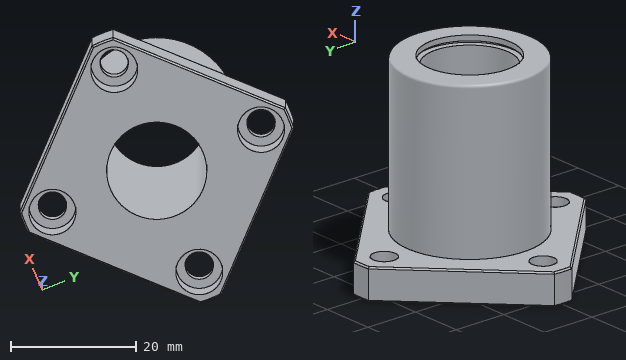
import cadquery as cq

FLANGE_SIDE = 35.0
FLANGE_TURN = 45.0
FLANGE_DIAMETER = 46.0
FLANGE_THICKNESS = 6.0
FLANGE_CHAMFER = 0.3

SLEEVE_DIAMETER = 26.0
OVERALL_HEIGHT = 36.0
SLEEVE_FILLET = 0.6

BORE_DIAMETER = 16.0
LIP_DIAMETER = 17.2
LIP_HEIGHT = 1.0
GROOVE_DIAMETER = 18.4
GROOVE_WIDTH = 0.5

BOLT_CIRCLE_DIAMETER = 36.0
BOLT_COUNT = 4
BOLT_HOLE_DIAMETER = 4.5
COUNTERBORE_DIAMETER = 7.5
COUNTERBORE_DEPTH = 4.1


def cylinder(diameter, bottom, top):
    """Solid cylinder on the Z axis between two heights."""
    return cq.Workplane("XY").workplane(offset=bottom).circle(diameter / 2).extrude(top - bottom)


def make_flange():
    """Diamond plate with round corners and chamfered top and bottom rims."""
    square = (
        cq.Workplane("XY")
        .rect(FLANGE_SIDE, FLANGE_SIDE)
        .extrude(FLANGE_THICKNESS)
        .rotate((0, 0, 0), (0, 0, 1), FLANGE_TURN)
    )
    plate = square.intersect(cylinder(FLANGE_DIAMETER, 0, FLANGE_THICKNESS))
    return plate.faces("<Z or >Z").edges().chamfer(FLANGE_CHAMFER)


def make_sleeve():
    """Outer cylinder with its top rim rounded."""
    return cylinder(SLEEVE_DIAMETER, 0, OVERALL_HEIGHT).faces(">Z").edges().fillet(SLEEVE_FILLET)


def make_bore():
    """Through bore together with the lipped recess and its groove at the top end."""
    lip_bottom = OVERALL_HEIGHT - LIP_HEIGHT
    bore = cylinder(BORE_DIAMETER, 0, OVERALL_HEIGHT)
    lip = cylinder(LIP_DIAMETER, lip_bottom, OVERALL_HEIGHT)
    groove = cylinder(GROOVE_DIAMETER, lip_bottom - GROOVE_WIDTH, lip_bottom)
    return bore.union(lip).union(groove)


def make_bolt_holes():
    """Through holes on the bolt circle, each with its counterbore."""
    hole = cylinder(BOLT_HOLE_DIAMETER, 0, FLANGE_THICKNESS)
    counterbore = cylinder(COUNTERBORE_DIAMETER, 0, COUNTERBORE_DEPTH)
    cutter = hole.union(counterbore).translate((BOLT_CIRCLE_DIAMETER / 2, 0, 0))
    cutters = cq.Workplane("XY")
    for index in range(BOLT_COUNT):
        angle = index * 360 / BOLT_COUNT
        cutters = cutters.add(cutter.rotate((0, 0, 0), (0, 0, 1), angle))
    return cutters.combine()


result = make_flange().union(make_sleeve()).cut(make_bore()).cut(make_bolt_holes())